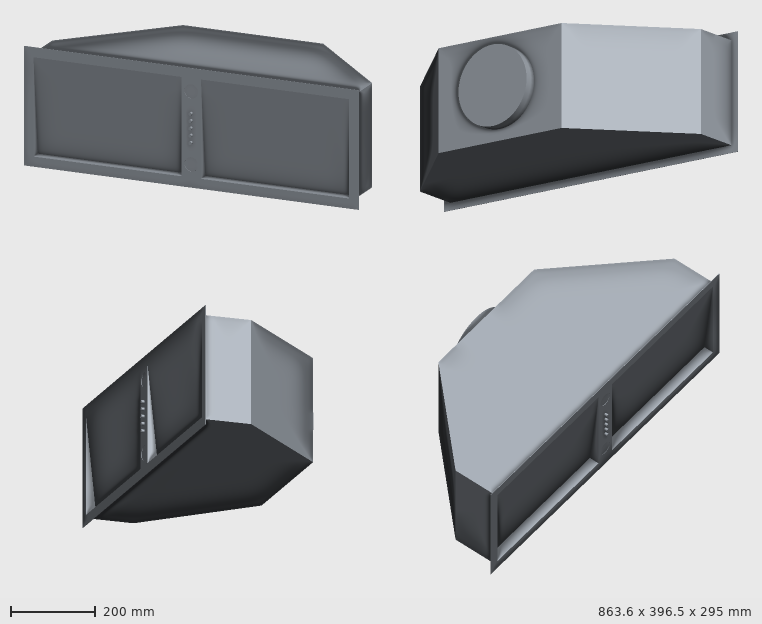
import cadquery as cq
import math

flange_width = 863.6
flange_height = 295.0
flange_thickness = 1.0
flange_overhang = 19.0

hood_width = flange_width - 2 * flange_overhang
hood_height = flange_height - 2 * flange_overhang
hood_depth = 358.5
hood_back_width = 361.0
hood_side_depth = 121.0

duct_diameter = 200.0
duct_length = 30.0

rim = 6.0
opening_width = hood_width - 2 * rim
opening_height = hood_height - 2 * rim

filter_angle = 6.0
filter_thickness = 30.0
filter_side_wall = 3.0
filter_width = hood_width - 2 * filter_side_wall
filter_slope_run = opening_height * math.tan(math.radians(filter_angle))

bar_width = 50.0
lamp_diameter = 35.0
lamp_spacing = 180.0
lamp_recess = 1.0
button_diameter = 8.0
button_length = 8.0
button_pitch = 18.0
button_count = 5

half_opening = opening_height / 2


def along_x(points, width):
    """Extrude a (Y, Z) outline evenly to both sides of X = 0."""
    return cq.Workplane("YZ").polyline(points).close().extrude(width / 2, both=True)


def filter_slab():
    """Parallelogram slab whose top front edge touches the front plane."""
    outline = [
        (0, half_opening),
        (filter_thickness, half_opening),
        (filter_thickness + filter_slope_run, -half_opening),
        (filter_slope_run, -half_opening),
    ]
    return along_x(outline, filter_width)


def wedge(width):
    """Space between the front plane and the filter's sloping face."""
    outline = [
        (0, half_opening),
        (filter_slope_run, -half_opening),
        (0, -half_opening),
    ]
    return along_x(outline, width)


def build_housing():
    plan = [
        (-hood_width / 2, flange_thickness),
        (hood_width / 2, flange_thickness),
        (hood_width / 2, hood_side_depth),
        (hood_back_width / 2, hood_depth),
        (-hood_back_width / 2, hood_depth),
        (-hood_width / 2, hood_side_depth),
    ]
    hood = cq.Workplane("XY").polyline(plan).close().extrude(hood_height / 2, both=True)
    flange = cq.Workplane("XY").box(
        flange_width, flange_thickness, flange_height, centered=(True, False, True)
    )
    duct = (
        cq.Workplane("XZ", origin=(0, hood_depth, 0))
        .circle(duct_diameter / 2)
        .extrude(-duct_length)
    )
    solid = hood.union(flange).union(duct)
    return solid.cut(wedge(opening_width)).cut(filter_slab())


def build_control_bar():
    bar = wedge(bar_width)
    lamp_centres = [(0, -lamp_spacing / 2), (0, lamp_spacing / 2)]
    lamps = (
        cq.Workplane("XZ")
        .pushPoints(lamp_centres)
        .circle(lamp_diameter / 2)
        .extrude(-lamp_recess)
    )
    bar = bar.cut(lamps)
    for index in range(button_count):
        height = (index - (button_count - 1) / 2) * button_pitch
        button = (
            cq.Workplane("XZ")
            .center(0, height)
            .circle(button_diameter / 2)
            .extrude(button_length)
        )
        bar = bar.union(button)
    return bar


housing = build_housing()
filter_panel = filter_slab()
control_bar = build_control_bar()

result = cq.Compound.makeCompound(
    [body.solids().val() for body in (housing, filter_panel, control_bar)]
)